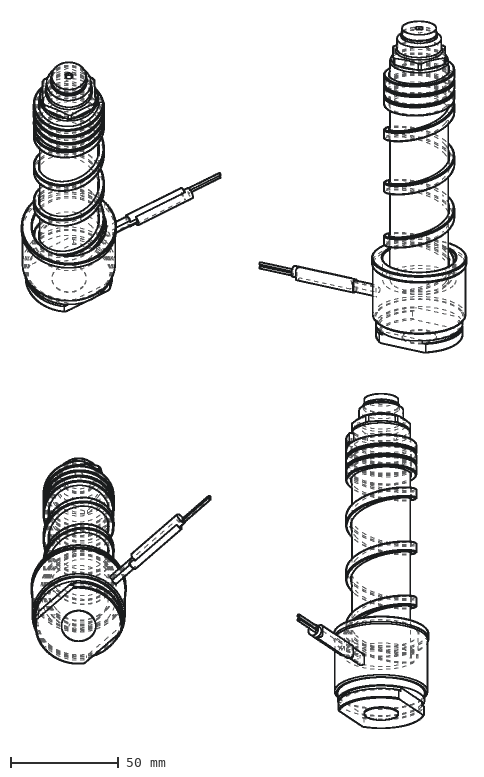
import cadquery as cq
import math

TOTAL_HEIGHT = 156.3

PAD_RADIUS = 8.0
PAD_HEIGHT = 0.5
RIM_RADIUS = 20.2
RIM_CHAMFER = 0.5
RIM_TOP = 5.0
NECK_RADIUS = 19.0
NECK_TOP = 6.7
BODY_RADIUS = 21.5
BODY_BOTTOM = 10.5
BODY_CHAMFER = 0.8
FLANGE_RADIUS = 22.0
FLANGE_BOTTOM = 37.5
FLANGE_TAPER_HEIGHT = 0.8
FLANGE_TOP = 40.3
FLANGE_CHAMFER = 0.5
FLAT_DISTANCE = 16.0
BORE_RADIUS = 17.0
BORE_CHAMFER = 0.5
BORE_FLOOR = 28.9

TUBE_RADIUS = 13.6
TUBE_TOP = 140.8
TUBE_CHAMFER_RADIUS = 13.1
TUBE_CHAMFER_HEIGHT = 1.3
NUT_ACROSS_FLATS = 24.2
HALF_HEX_ANGLE = 30
NUT_TOP = 144.9
NUT_CHAMFER_RADIUS = 11.0
NUT_CHAMFER_HEIGHT = 0.8
COLLAR_RADIUS = 10.3
COLLAR_FOOT_TOP = 145.8
COLLAR_TOP = 151.0
STEP_RADIUS = 8.5
STEP_BOTTOM = 152.2
TIP_RADIUS = 8.0
TIP_BOTTOM = 153.3
CENTRE_HOLE_RADIUS = 1.7
CENTRE_HOLE_DEPTH = 1.5
CENTRE_POINT_DEPTH = 0.3

SPRING_OUTER_RADIUS = 16.4
SPRING_INNER_RADIUS = 14.0
SPRING_WIRE_HEIGHT = 4.8
SPRING_WIRE_CHAMFER = 0.5
OPEN_PITCH = 26.9
CLOSED_PITCH = 5.3
TURN_ZERO_HEIGHT = 114.1
BLEND_START_TURN = -0.05
BLEND_TURNS = 0.35
LAST_TURN = 3.4
POINTS_PER_TURN = 24

LEAD_HEIGHT = 19.4
LEAD_START = 19.5
LEAD_END = 83.5
FLAT_LEAD_X = -1.48
FLAT_LEAD_WIDTH = 2.3
FLAT_LEAD_DEPTH = 5.2
FLAT_LEAD_FILLET = 0.5
FLAT_SLEEVE_START = 33.3
FLAT_SLEEVE_END = 63.5
FLAT_SLEEVE_WIDTH = 3.8
FLAT_SLEEVE_DEPTH = 6.1
FLAT_SLEEVE_FILLET = 1.17
ROUND_LEAD_RADIUS = 1.3
ROUND_SLEEVE_RADIUS = 2.7
ROUND_SLEEVE_START = 36.5
ROUND_SLEEVE_END = 66.3
CORE_RADIUS = 0.6
CORE_SPACING = 2.0


def revolved(outline):
    """Solid of revolution about Z from (radius, height) points."""
    return cq.Workplane("XZ").polyline(outline).close().revolve(360, (0, 0), (0, 1))


def base_housing():
    lower = revolved([
        (0, 0),
        (PAD_RADIUS, 0),
        (PAD_RADIUS, PAD_HEIGHT),
        (RIM_RADIUS - RIM_CHAMFER, PAD_HEIGHT),
        (RIM_RADIUS, PAD_HEIGHT + RIM_CHAMFER),
        (RIM_RADIUS, RIM_TOP),
        (NECK_RADIUS, RIM_TOP),
        (NECK_RADIUS, NECK_TOP),
        (0, NECK_TOP),
    ])
    between_flats = cq.Workplane("XY").box(2 * FLAT_DISTANCE, 2 * RIM_RADIUS, 2 * NECK_TOP)
    upper = revolved([
        (0, NECK_TOP),
        (RIM_RADIUS, NECK_TOP),
        (RIM_RADIUS, BODY_BOTTOM),
        (BODY_RADIUS - BODY_CHAMFER, BODY_BOTTOM),
        (BODY_RADIUS, BODY_BOTTOM + BODY_CHAMFER),
        (BODY_RADIUS, FLANGE_BOTTOM - FLANGE_TAPER_HEIGHT),
        (FLANGE_RADIUS, FLANGE_BOTTOM),
        (FLANGE_RADIUS, FLANGE_TOP - FLANGE_CHAMFER),
        (FLANGE_RADIUS - FLANGE_CHAMFER, FLANGE_TOP),
        (BORE_RADIUS + BORE_CHAMFER, FLANGE_TOP),
        (BORE_RADIUS, FLANGE_TOP - BORE_CHAMFER),
        (BORE_RADIUS, BORE_FLOOR),
        (0, BORE_FLOOR),
    ])
    return upper.union(lower.intersect(between_flats))


def hex_nut():
    """Hexagon with two flats facing X, its corners turned down to the tube radius."""
    hexagon = (
        cq.Workplane("XY", origin=(0, 0, TUBE_TOP))
        .polygon(6, NUT_ACROSS_FLATS / math.cos(math.radians(HALF_HEX_ANGLE)))
        .extrude(NUT_TOP - TUBE_TOP)
        .rotate((0, 0, 0), (0, 0, 1), HALF_HEX_ANGLE)
    )
    turned = revolved([
        (0, TUBE_TOP),
        (TUBE_RADIUS, TUBE_TOP),
        (TUBE_RADIUS, NUT_TOP - NUT_CHAMFER_HEIGHT),
        (NUT_CHAMFER_RADIUS, NUT_TOP),
        (0, NUT_TOP),
    ])
    return hexagon.intersect(turned)


def guide_tube():
    tube = revolved([
        (0, BORE_FLOOR),
        (TUBE_RADIUS, BORE_FLOOR),
        (TUBE_RADIUS, TUBE_TOP - TUBE_CHAMFER_HEIGHT),
        (TUBE_CHAMFER_RADIUS, TUBE_TOP),
        (0, TUBE_TOP),
    ])
    head = revolved([
        (0, NUT_TOP),
        (NUT_CHAMFER_RADIUS, NUT_TOP),
        (COLLAR_RADIUS, COLLAR_FOOT_TOP),
        (COLLAR_RADIUS, COLLAR_TOP),
        (STEP_RADIUS, STEP_BOTTOM),
        (STEP_RADIUS, TIP_BOTTOM),
        (TIP_RADIUS, TIP_BOTTOM),
        (TIP_RADIUS, TOTAL_HEIGHT),
        (CENTRE_HOLE_RADIUS, TOTAL_HEIGHT),
        (CENTRE_HOLE_RADIUS, TOTAL_HEIGHT - CENTRE_HOLE_DEPTH),
        (0, TOTAL_HEIGHT - CENTRE_POINT_DEPTH),
    ])
    return tube.union(hex_nut()).union(head)


def spring_height(turn):
    """Height of the wire centre: open pitch, then a smooth blend, then closed pitch."""
    blended = min(max(turn - BLEND_START_TURN, 0), BLEND_TURNS)
    past_blend = max(turn - BLEND_START_TURN - BLEND_TURNS, 0)
    pitch_drop = OPEN_PITCH - CLOSED_PITCH
    lost_rise = pitch_drop * (blended**2 / (2 * BLEND_TURNS) + past_blend)
    return TURN_ZERO_HEIGHT + OPEN_PITCH * turn - lost_rise


def spring_edge(radius, offset):
    """One long edge of the spring wire, offset in height from the wire centre."""
    first_turn = (BORE_FLOOR - SPRING_WIRE_HEIGHT - TURN_ZERO_HEIGHT) / OPEN_PITCH
    steps = math.ceil((LAST_TURN - first_turn) * POINTS_PER_TURN)
    points = []
    for step in range(steps + 1):
        turn = first_turn + (LAST_TURN - first_turn) * step / steps
        angle = 2 * math.pi * turn - math.pi / 2
        points.append(cq.Vector(
            radius * math.cos(angle),
            radius * math.sin(angle),
            spring_height(turn) + offset,
        ))
    return cq.Edge.makeSpline(points)


def spring():
    """Flat wire wound clear of the tube, its first end sunk into the bore floor."""
    half_height = SPRING_WIRE_HEIGHT / 2
    chamfered_radius = SPRING_OUTER_RADIUS - SPRING_WIRE_CHAMFER
    chamfered_height = half_height - SPRING_WIRE_CHAMFER
    section = [
        (SPRING_INNER_RADIUS, -half_height),
        (chamfered_radius, -half_height),
        (SPRING_OUTER_RADIUS, -chamfered_height),
        (SPRING_OUTER_RADIUS, chamfered_height),
        (chamfered_radius, half_height),
        (SPRING_INNER_RADIUS, half_height),
    ]
    edges = [spring_edge(radius, offset) for radius, offset in section]
    faces = [cq.Face.makeRuledSurface(edges[i - 1], edges[i]) for i in range(len(edges))]
    for ends in ([e.startPoint() for e in edges], [e.endPoint() for e in edges]):
        faces.append(cq.Face.makeFromWires(cq.Wire.makePolygon(ends, close=True)))
    return cq.Workplane(cq.Solid.makeSolid(cq.Shell.makeShell(faces)))


def along_y(start, x, z=LEAD_HEIGHT):
    """Workplane at Y = start, centred on a lead; a negative extrusion runs toward +Y."""
    return cq.Workplane("XZ", origin=(x, start, z))


def round_bar(start, end, radius, x, z=LEAD_HEIGHT):
    return along_y(start, x, z).circle(radius).extrude(start - end)


def flat_bar(start, end, width, depth, fillet):
    bar = along_y(start, FLAT_LEAD_X).rect(width, depth).extrude(start - end)
    return bar.edges("|Y").fillet(fillet)


def leads():
    flat_lead = flat_bar(
        LEAD_START, FLAT_SLEEVE_START, FLAT_LEAD_WIDTH, FLAT_LEAD_DEPTH, FLAT_LEAD_FILLET
    )
    flat_sleeve = flat_bar(
        FLAT_SLEEVE_START, FLAT_SLEEVE_END, FLAT_SLEEVE_WIDTH, FLAT_SLEEVE_DEPTH, FLAT_SLEEVE_FILLET
    )
    round_lead = round_bar(LEAD_START, ROUND_SLEEVE_START, ROUND_LEAD_RADIUS, 0)
    round_sleeve = round_bar(ROUND_SLEEVE_START, ROUND_SLEEVE_END, ROUND_SLEEVE_RADIUS, 0)
    bundle = flat_lead.union(flat_sleeve).union(round_lead).union(round_sleeve)
    for side in (-1, 1):
        core_height = LEAD_HEIGHT + side * CORE_SPACING / 2
        bundle = bundle.union(
            round_bar(FLAT_SLEEVE_END, LEAD_END, CORE_RADIUS, FLAT_LEAD_X, core_height)
        )
    return bundle


result = base_housing().union(guide_tube()).union(leads()).union(spring())